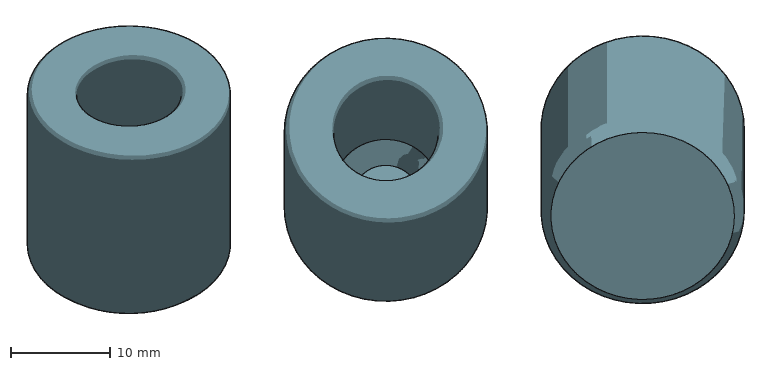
import cadquery as cq
import math

height = 22.0
outer_diameter = 20.5
outer_radius = outer_diameter / 2
edge_radius = 1.0

bottom_flat_radius = 9.25
chamfer_angle = math.radians(45)

bore_diameter = 10.5
bore_radius = bore_diameter / 2
floor_diameter = 6.5
floor_radius = floor_diameter / 2
cone_height = bore_radius - floor_radius
bore_depth = 17.6


def make_body():
    """Revolve the outer profile, including the chamfered and blended bottom rim."""
    blend_center_x = outer_radius - edge_radius
    blend_start_x = blend_center_x + edge_radius * math.cos(chamfer_angle)
    blend_start_z = (blend_start_x - bottom_flat_radius) * math.tan(chamfer_angle)
    blend_center_z = blend_start_z + edge_radius * math.sin(chamfer_angle)
    middle_angle = chamfer_angle / 2
    blend_middle = (
        blend_center_x + edge_radius * math.cos(middle_angle),
        blend_center_z - edge_radius * math.sin(middle_angle),
    )
    profile = (
        cq.Workplane("XZ")
        .lineTo(bottom_flat_radius, 0)
        .lineTo(blend_start_x, blend_start_z)
        .threePointArc(blend_middle, (outer_radius, blend_center_z))
        .lineTo(outer_radius, height)
        .lineTo(0, height)
        .close()
    )
    return profile.revolve(360, (0, 0, 0), (0, 1, 0))


def make_bore():
    """Revolve the blind bore with its conical end."""
    floor_z = height - bore_depth
    profile = (
        cq.Workplane("XZ")
        .moveTo(0, floor_z)
        .lineTo(floor_radius, floor_z)
        .lineTo(bore_radius, floor_z + cone_height)
        .lineTo(bore_radius, height)
        .lineTo(0, height)
        .close()
    )
    return profile.revolve(360, (0, 0, 0), (0, 1, 0))


result = make_body().cut(make_bore()).faces(">Z").edges().fillet(edge_radius)